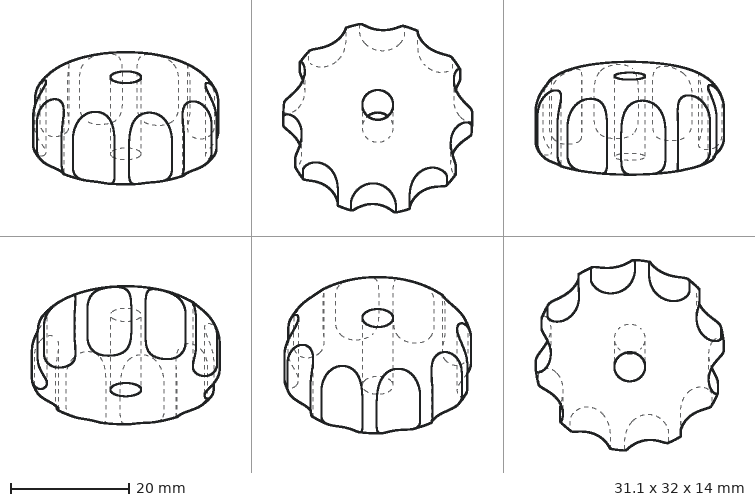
import cadquery as cq

outer_radius = 16.0
height = 14.0
top_round = 6.0
bottom_round = 3.0

bore_diameter = 5.2

grip_count = 10
grip_radius = 4.5
grip_center_radius = 18.0


def knob_body():
    """Disc with a large round on the top rim and a smaller one below."""
    body = cq.Workplane("XY").circle(outer_radius).extrude(height)
    body = body.faces(">Z").edges().fillet(top_round)
    return body.faces("<Z").edges().fillet(bottom_round)


def grip_cutters():
    """Full-height cylinders that scallop the rim, the first one on +X."""
    return (
        cq.Workplane("XY")
        .polarArray(grip_center_radius, 0, 360, grip_count)
        .circle(grip_radius)
        .extrude(height)
    )


def bore_cutter():
    """Cylinder for the through hole on the knob axis."""
    return cq.Workplane("XY").circle(bore_diameter / 2).extrude(height)


result = knob_body().cut(grip_cutters()).cut(bore_cutter())